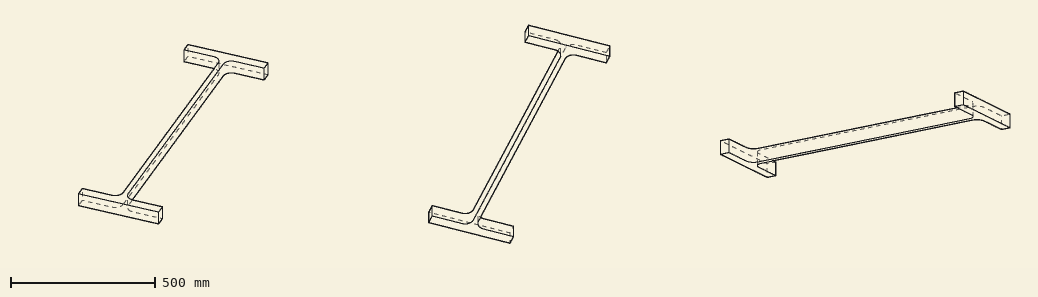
import cadquery as cq

beam_depth = 1000.0
flange_width = 300.0
slice_length = 50.0
flange_thickness = 36.0
web_thickness = 19.0
root_radius = 30.0

web_height = beam_depth - 2 * flange_thickness
flange_offset = (beam_depth - flange_thickness) / 2


def make_flange(center_y):
    """Flange centred on the web at the given Y."""
    return cq.Workplane("XY").center(0, center_y).rect(flange_width, flange_thickness).extrude(slice_length)


web = cq.Workplane("XY").rect(web_thickness, web_height).extrude(slice_length)
beam = web.union(make_flange(flange_offset)).union(make_flange(-flange_offset))

root_edges = cq.selectors.BoxSelector(
    (-web_thickness, -beam_depth / 2, 0),
    (web_thickness, beam_depth / 2, slice_length),
)
result = beam.edges("|Z").edges(root_edges).fillet(root_radius)